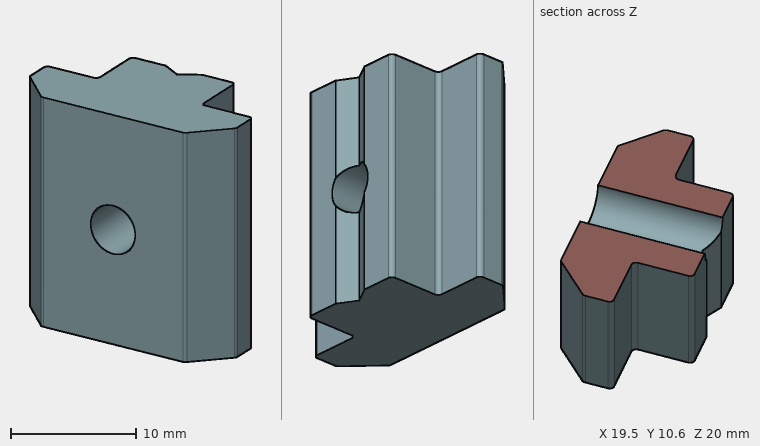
import cadquery as cq

width = 19.5
depth = 10.6
length = 20.0

flange_depth = 5.5
stem_width = 9.8
chamfer = 3.0
edge_radius = 0.4
groove_width = 3.4
groove_depth = 1.0

hole_diameter = 4.2


def make_body():
    """Extrude the T-shaped profile along Z and round its long edges."""
    half_width = width / 2
    half_stem = stem_width / 2
    right_side = [
        (half_width - chamfer, 0),
        (half_width, chamfer),
        (half_width, flange_depth),
        (half_stem, flange_depth),
        (half_stem, depth),
    ]
    left_side = [(-x, y) for x, y in reversed(right_side)]
    outline = cq.Workplane("XY").polyline(right_side + left_side).close()
    return outline.extrude(length).edges("|Z").fillet(edge_radius)


def make_groove():
    """V-groove along the middle of the stem face."""
    half_groove = groove_width / 2
    return (
        cq.Workplane("XY")
        .polyline([(-half_groove, depth), (0, depth - groove_depth), (half_groove, depth)])
        .close()
        .extrude(length)
    )


def make_hole():
    """Hole through the full depth, centred on the length."""
    return (
        cq.Workplane("XZ")
        .center(0, length / 2)
        .circle(hole_diameter / 2)
        .extrude(-depth)
    )


result = make_body().cut(make_groove()).cut(make_hole())